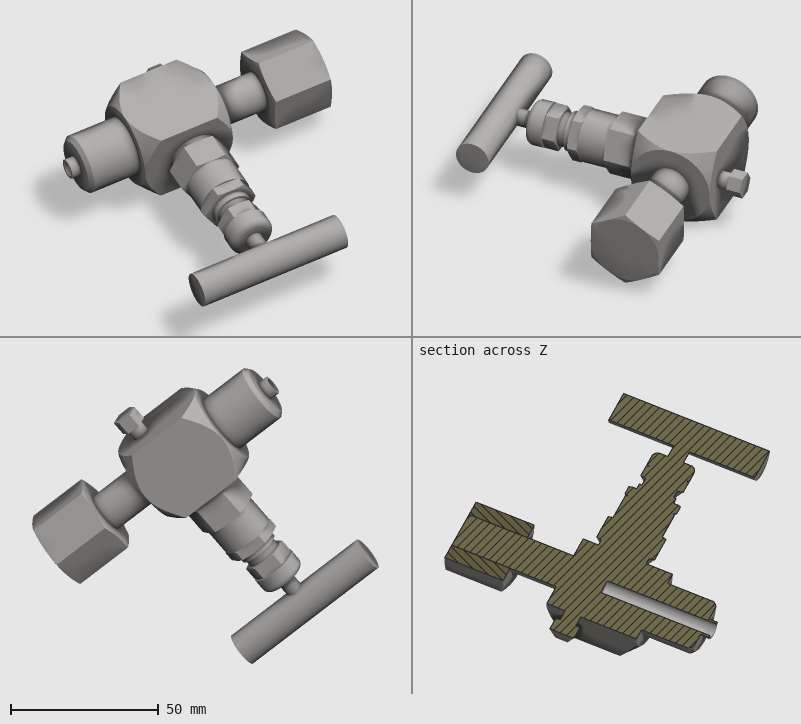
import cadquery as cq
import math

block_width = 29.1
block_back = 14.7
block_length = 33.8
block_front = block_back - block_length
block_face_diameter = 28.9

spigot_diameter = 21.0
spigot_length = 18.8
spigot_chamfer = 1.5
tip_diameter = 7.0
tip_length = 3.2
bore_diameter = 5.0
spigot_front = block_front - spigot_length
tip_front = spigot_front - tip_length

stub_diameter = 14.0
nut_gap = 17.2
nut_length = 22.0
nut_flats = 25.0
nut_front = block_back + nut_gap
nut_back = nut_front + nut_length

screw_y = 4.85
screw_neck_diameter = 6.0
screw_neck_length = 3.8
screw_head_flats = 8.0
screw_head_length = 5.0

collar_diameter = 18.0
collar_length = 2.1
bonnet_hex_flats = 18.9
bonnet_hex_length = 10.0
barrel_diameter = 18.5
barrel_length = 10.0
lock_hex_flats = 16.9
lock_hex_length = 4.0
shoulder_diameter = 14.0
shoulder_length = 2.1
neck_diameter = 12.0
neck_length = 2.8
cap_diameter = 16.0
cap_hex_flats = 13.9
cap_hex_length = 5.0
cap_length = 6.3
cap_fillet = 2.2

stem_diameter = 6.0
handle_diameter = 12.0
handle_length = 54.9
handle_x = 67.6

hex_chamfer_angle = 15.0
block_chamfer_angle = 45.0


def cylinder(diameter, length):
    return cq.Workplane("XY").circle(diameter / 2).extrude(length)


def hexagon(flats, length):
    """Hexagonal prism with two corners on the X axis."""
    return cq.Workplane("XY").polygon(6, flats / math.cos(math.pi / 6)).extrude(length)


def turn_corners(prism, length, face_diameter, angle):
    """Chamfer the corners of a prism at both ends, leaving a round land on each end face."""
    face_radius = face_diameter / 2
    reach = face_radius + length / 2 / math.tan(math.radians(angle))
    envelope = (
        cq.Workplane("XZ")
        .polyline([(0, 0), (face_radius, 0), (reach, length / 2), (face_radius, length), (0, length)])
        .close()
        .revolve(360, (0, 0), (0, 1))
    )
    return prism.intersect(envelope)


def chamfered_hexagon(flats, length):
    return turn_corners(hexagon(flats, length), length, flats, hex_chamfer_angle)


def along_x(shape, x, y=0):
    """Turn Z to X and X to Y, then move the start to (x, y)."""
    return shape.rotate((0, 0, 0), (1, 1, 1), 120).translate((x, y, 0))


def along_y(shape, y):
    """Turn Z to Y and X to Z, then move the start to y."""
    return shape.rotate((0, 0, 0), (1, 1, 1), 240).translate((0, y, 0))


def make_block():
    prism = cq.Workplane("XY").rect(block_width, block_width).extrude(block_length)
    block = turn_corners(prism, block_length, block_face_diameter, block_chamfer_angle)
    return along_y(block, block_front)


def make_spigot():
    """Threaded spigot with a chamfered end and a centring tip."""
    spigot = cylinder(spigot_diameter, spigot_length).faces("<Z").chamfer(spigot_chamfer)
    tip = cylinder(tip_diameter, tip_length)
    return along_y(spigot, spigot_front).union(along_y(tip, tip_front))


def make_bore():
    """Flow bore from the tip to the bonnet axis."""
    return along_y(cylinder(bore_diameter, -tip_front), tip_front)


def make_stub():
    """Stub that runs from the block through the nut."""
    return along_y(cylinder(stub_diameter, nut_back - block_back), block_back)


def make_bleed_screw():
    neck_start = -block_width / 2 - screw_neck_length
    neck = cylinder(screw_neck_diameter, screw_neck_length)
    head = hexagon(screw_head_flats, screw_head_length)
    return along_x(neck, neck_start, screw_y).union(along_x(head, neck_start - screw_head_length, screw_y))


def make_cap():
    """Packing cap with a rounded outer rim."""
    return cylinder(cap_diameter, cap_length).faces(">Z").edges().fillet(cap_fillet)


def make_bonnet():
    """Bonnet sections set end to end along X, finished by the stem."""
    sections = [
        (cylinder(collar_diameter, collar_length), collar_length),
        (chamfered_hexagon(bonnet_hex_flats, bonnet_hex_length), bonnet_hex_length),
        (cylinder(barrel_diameter, barrel_length), barrel_length),
        (chamfered_hexagon(lock_hex_flats, lock_hex_length), lock_hex_length),
        (cylinder(shoulder_diameter, shoulder_length), shoulder_length),
        (cylinder(neck_diameter, neck_length), neck_length),
        (chamfered_hexagon(cap_hex_flats, cap_hex_length), cap_hex_length),
        (make_cap(), cap_length),
    ]
    x = block_width / 2
    bonnet = cq.Workplane("XY")
    for shape, length in sections:
        bonnet = bonnet.add(along_x(shape, x))
        x += length
    stem = along_x(cylinder(stem_diameter, handle_x - x), x)
    return bonnet.add(stem).combine()


def make_handle():
    """Crossbar of the T-handle, centred on the stem."""
    return along_y(cylinder(handle_diameter, handle_length), -handle_length / 2).translate((handle_x, 0, 0))


def make_valve():
    return (
        make_block()
        .union(make_spigot())
        .union(make_stub())
        .union(make_bleed_screw())
        .union(make_bonnet())
        .union(make_handle())
        .cut(make_bore())
    )


def make_nut():
    """Hexagonal nut, bored to fit over the stub."""
    nut = chamfered_hexagon(nut_flats, nut_length).cut(cylinder(stub_diameter, nut_length))
    return along_y(nut, nut_front)


valve = make_valve()
nut = make_nut()
result = cq.Compound.makeCompound([valve.val(), nut.val()])